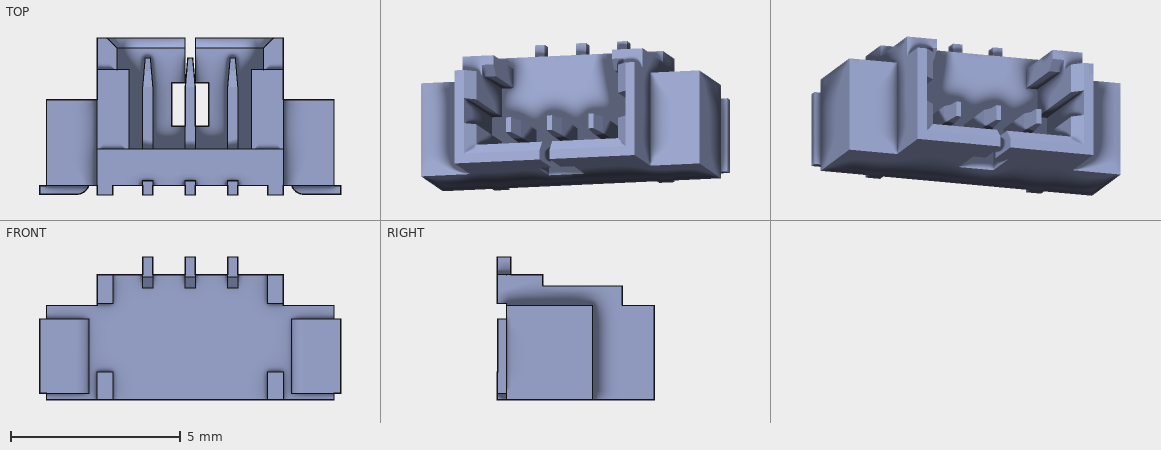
import cadquery as cq
import math

housing_width = 5.5
depth = 4.65
foot_depth = 0.28
housing_front = foot_depth
bar_height = 3.7
bar_rear = 1.35
sidewall_height = 3.37
sidewall_rear = bar_height
rear_height = 2.795

wall = 0.59
lead_in = 0.3
rail_width = 0.94
cavity_half_width = housing_width / 2 - wall
rail_inner_x = housing_width / 2 - rail_width
key_groove_bottom = 1.2
key_groove_top = 1.95

slot_width = 0.3
window_width = 1.09
window_front = 2.04
window_rear = 3.31

wing_span = 8.5
wing_rear = 2.82

foot_width = 0.46
lower_foot_height = 0.83
upper_foot_bottom = 2.85

tab_span = 8.9
tab_thickness = 0.26
tab_round = 0.39
tab_flat_inner_x = 3.36
tab_bottom = 0.2
tab_top = 2.39

pitch = 1.255
contact_count = 3
contact_width = 0.3
pin_bottom = 0.98
pin_top = 1.495
taper_start = 3.18
ramp_end = 3.65
pin_end = 4.05
pin_tip_width = 0.15
ramp_drop = 0.07
tail_top = 4.23
tail_depth = 0.41
tail_gap_rear = 0.44
tail_front_bottom = 3.63
tail_rear_bottom = 3.3


def block(x_min, x_max, y_min, y_max, z_min, z_max):
    size = (x_max - x_min, y_max - y_min, z_max - z_min)
    return cq.Workplane("XY").box(*size, centered=False).translate((x_min, y_min, z_min))


def centred_block(width, y_min, y_max, z_min, z_max):
    return block(-width / 2, width / 2, y_min, y_max, z_min, z_max)


def both_sides(shape):
    return shape.union(shape.mirror("YZ"))


def extrude_along_x(points, width):
    return cq.Workplane("YZ").polyline(points).close().extrude(width / 2, both=True)


def stepped_body():
    profile = [
        (housing_front, 0),
        (depth, 0),
        (depth, rear_height),
        (sidewall_rear, rear_height),
        (sidewall_rear, sidewall_height),
        (bar_rear, sidewall_height),
        (bar_rear, bar_height),
        (housing_front, bar_height),
    ]
    wings = centred_block(wing_span, housing_front, wing_rear, 0, rear_height)
    return extrude_along_x(profile, housing_width).union(wings)


def mouth_lead_in():
    height = rear_height - wall + 2 * lead_in
    return (
        cq.Workplane("XZ", origin=(0, depth, (wall + rear_height) / 2))
        .rect(2 * (cavity_half_width + lead_in), height)
        .extrude(lead_in, taper=45)
    )


def cavity():
    main = centred_block(2 * cavity_half_width, bar_rear, depth, wall, rear_height)
    between_rails = centred_block(2 * rail_inner_x, bar_rear, depth, wall, sidewall_height)
    rail_lead_in = extrude_along_x(
        [
            (sidewall_rear - lead_in, rear_height),
            (sidewall_rear, rear_height),
            (sidewall_rear, rear_height + lead_in),
        ],
        2 * cavity_half_width,
    )
    return main.union(between_rails).union(rail_lead_in).union(mouth_lead_in())


def key_groove():
    return block(
        cavity_half_width,
        cavity_half_width + lead_in,
        bar_rear,
        depth,
        key_groove_bottom,
        key_groove_top,
    )


def floor_openings():
    slot = centred_block(slot_width, window_rear, depth, 0, wall)
    window = centred_block(window_width, window_front, window_rear, 0, wall)
    return slot.union(window)


def feet():
    outer_x = housing_width / 2
    inner_x = outer_x - foot_width
    lower = block(inner_x, outer_x, 0, housing_front, 0, lower_foot_height)
    upper = block(inner_x, outer_x, 0, housing_front, upper_foot_bottom, bar_height)
    return both_sides(lower).union(both_sides(upper))


def solder_tabs():
    front = housing_front - tab_thickness
    angle = math.acos(1 - tab_thickness / tab_round)
    inner_x = tab_flat_inner_x - tab_round * math.sin(angle)
    arc_middle = (
        tab_flat_inner_x - tab_round * math.sin(angle / 2),
        front + tab_round * (1 - math.cos(angle / 2)),
    )
    tab = (
        cq.Workplane("XY", origin=(0, 0, tab_bottom))
        .moveTo(tab_span / 2, housing_front)
        .lineTo(tab_span / 2, front)
        .lineTo(tab_flat_inner_x, front)
        .threePointArc(arc_middle, (inner_x, housing_front))
        .close()
        .extrude(tab_top - tab_bottom)
    )
    return both_sides(tab)


def contact_pin():
    side_profile = extrude_along_x(
        [
            (bar_rear, pin_bottom),
            (pin_end, pin_bottom),
            (pin_end, pin_top - ramp_drop),
            (ramp_end, pin_top - ramp_drop),
            (taper_start, pin_top),
            (bar_rear, pin_top),
        ],
        contact_width,
    )
    half = contact_width / 2
    half_tip = pin_tip_width / 2
    plan_profile = (
        cq.Workplane("XY", origin=(0, 0, pin_bottom))
        .polyline(
            [
                (-half, bar_rear),
                (half, bar_rear),
                (half, taper_start),
                (half_tip, pin_end),
                (-half_tip, pin_end),
                (-half, taper_start),
            ]
        )
        .close()
        .extrude(pin_top - pin_bottom)
    )
    return side_profile.intersect(plan_profile)


def contact_tail():
    return extrude_along_x(
        [
            (0, tail_top),
            (tail_depth, tail_top),
            (tail_depth, tail_rear_bottom),
            (housing_front, tail_rear_bottom),
            (0, tail_front_bottom),
        ],
        contact_width,
    )


def tail_gap():
    return centred_block(contact_width, tail_depth, tail_gap_rear, tail_rear_bottom, bar_height)


result = stepped_body().cut(cavity()).cut(both_sides(key_groove())).cut(floor_openings())
result = result.union(feet()).union(solder_tabs())
for index in range(contact_count):
    x = (index - (contact_count - 1) / 2) * pitch
    result = result.cut(tail_gap().translate((x, 0, 0)))
    contact = contact_pin().union(contact_tail())
    result = result.union(contact.translate((x, 0, 0)))